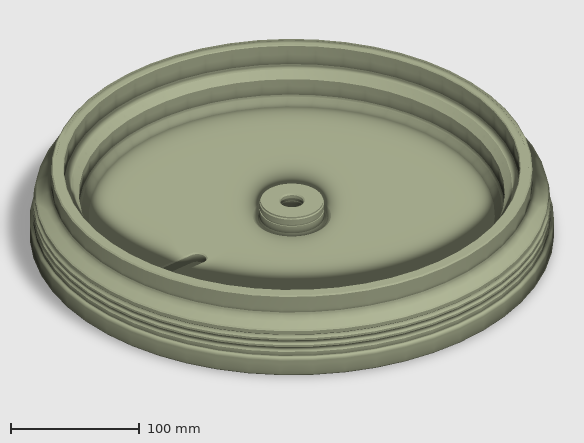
import cadquery as cq
import math

total_height = 63.01
floor_z = 18.6

rib_radius = 401.13 / 2
groove_root_radius = 397.13 / 2
shoulder_radius = 398.25 / 2
rim_radius = 373.0 / 2
cone_bottom_z = 38.6
cone_top_z = 46.6
shoulder_bevel = 1.0
rim_foot_bevel = 1.2
full_groove_count = 2
groove_pitch = 6.15
first_groove_z = 22.65
groove_half_width = 1.3
groove_mouth_bevel = 0.9
top_groove_z = first_groove_z + full_groove_count * groove_pitch
shoulder_bottom_z = 35.6

rim_chamfer = 1.0
rim_bore_chamfer = 0.7
rim_step_radius = 366.7 / 2
rim_step_depth = 0.2
rim_bore_radius = 353.65 / 2
ledge_z = 44.6
ledge_inner_radius = 170.9
wall_radius = 330.15 / 2
wall_top_z = 38.9
wall_bottom_z = 24.9
wall_foot_bevel = 0.9
ledge_bevel = 0.9
foot_radius = 163.0
foot_z = 23.5
floor_radius = 157.4

slot_width = 16.0
slot_length = 70.0
slot_depth = 8.0
slot_center_y = -122.7
slot_chamfer = 1.0

lip_radius = 406.76 / 2
lip_height = 16.8
lip_crown = lip_radius - rib_radius
lip_bottom_fillet = 2.0

hub_flange_radius = 70.0 / 2
hub_top_z = 32.5
hub_radius = 49.98 / 2
hub_neck_radius = 48.5 / 2
hub_neck_height = 1.3
hub_foot_bevel = 1.3
hub_chamfer = hub_radius - hub_neck_radius
ring_groove_bottom_z = 24.3
ring_groove_width = 1.5
moat_outer_radius = 30.4
moat_floor_radius = 27.5
moat_depth = 1.8
bore_radius = 18.0 / 2
bore_groove_radius = 20.0 / 2
bore_groove_bottom_z = 26.0
bore_groove_height = 2.9
bore_chamfer = bore_groove_radius - bore_radius


def revolve_about_z(profile):
    """Turn a closed (radius, height) profile drawn on XZ into a solid about Z."""
    return profile.close().revolve(360, (0, 0, 0), (0, 1, 0))


def ring(inner_radius, outer_radius, bottom_z, height):
    """Flat ring about Z, standing up from bottom_z."""
    return (
        cq.Workplane("XY", origin=(0, 0, bottom_z))
        .circle(outer_radius)
        .circle(inner_radius)
        .extrude(height)
    )


def add_rib_groove(profile, center_z):
    """Continue the drum outline up through a round-bottomed groove with bevelled edges."""
    return (
        profile.lineTo(rib_radius, center_z - groove_half_width - groove_mouth_bevel)
        .lineTo(rib_radius - groove_mouth_bevel, center_z - groove_half_width)
        .threePointArc(
            (groove_root_radius, center_z),
            (rib_radius - groove_mouth_bevel, center_z + groove_half_width),
        )
        .lineTo(rib_radius, center_z + groove_half_width + groove_mouth_bevel)
    )


def add_top_groove(profile):
    """Continue the drum outline up through the last groove, which runs out into the shoulder."""
    return (
        profile.lineTo(rib_radius, top_groove_z - groove_half_width - groove_mouth_bevel)
        .lineTo(rib_radius - groove_mouth_bevel, top_groove_z - groove_half_width)
        .lineTo(groove_root_radius, top_groove_z)
        .lineTo(shoulder_radius, shoulder_bottom_z)
    )


def make_drum_blank():
    """Turned dish: ribbed base, sloping shoulder, upright rim and flat floor."""
    profile = cq.Workplane("XZ").moveTo(hub_flange_radius, 0).lineTo(rib_radius, 0)
    for index in range(full_groove_count):
        profile = add_rib_groove(profile, first_groove_z + index * groove_pitch)
    profile = (
        add_top_groove(profile)
        .lineTo(shoulder_radius, cone_bottom_z)
        .lineTo(shoulder_radius - shoulder_bevel, cone_bottom_z + shoulder_bevel)
        .lineTo(rim_radius + rim_foot_bevel, cone_top_z)
        .lineTo(rim_radius, cone_top_z + rim_foot_bevel)
        .lineTo(rim_radius, total_height - rim_chamfer)
        .lineTo(rim_radius - rim_chamfer, total_height)
        .lineTo(rim_step_radius, total_height)
        .lineTo(rim_step_radius, total_height - rim_step_depth)
        .lineTo(rim_bore_radius + rim_bore_chamfer, total_height - rim_step_depth)
        .lineTo(rim_bore_radius, total_height - rim_step_depth - rim_bore_chamfer)
        .lineTo(rim_bore_radius, ledge_z + ledge_bevel)
        .lineTo(rim_bore_radius - ledge_bevel, ledge_z)
        .lineTo(ledge_inner_radius, ledge_z)
        .lineTo(wall_radius, wall_top_z)
        .lineTo(wall_radius, wall_bottom_z)
        .lineTo(wall_radius - wall_foot_bevel, wall_bottom_z - wall_foot_bevel)
        .lineTo(foot_radius, foot_z)
        .lineTo(floor_radius, floor_z)
        .lineTo(hub_flange_radius, floor_z)
    )
    return revolve_about_z(profile)


def make_slot_cutter():
    """Round-ended pocket with a chamfered mouth."""
    pocket = (
        cq.Workplane("XY", origin=(0, slot_center_y, floor_z - slot_depth))
        .slot2D(slot_length - 2 * slot_chamfer, slot_width - 2 * slot_chamfer, 90)
        .extrude(slot_depth + slot_chamfer)
    )
    mouth = (
        cq.Workplane("XY", origin=(0, slot_center_y, floor_z))
        .slot2D(slot_length, slot_width, 90)
        .extrude(-slot_chamfer, taper=45)
    )
    return pocket.union(mouth)


def make_drum():
    return make_drum_blank().cut(make_slot_cutter())


def make_lip():
    """Band seated on the foot of the drum, with a crowned top and a rounded lower edge."""
    arc_inset = 1 - math.sqrt(0.5)
    bottom_inset = lip_bottom_fillet * arc_inset
    crown_inset = lip_crown * arc_inset
    profile = (
        cq.Workplane("XZ")
        .moveTo(rib_radius, 0)
        .lineTo(lip_radius - lip_bottom_fillet, 0)
        .threePointArc((lip_radius - bottom_inset, bottom_inset), (lip_radius, lip_bottom_fillet))
        .lineTo(lip_radius, lip_height - lip_crown)
        .threePointArc((lip_radius - crown_inset, lip_height - crown_inset), (rib_radius, lip_height))
    )
    return revolve_about_z(profile)


def make_hub():
    """Flange flush with the floor, a boss standing in a shallow moat, and a stepped bore."""
    moat_floor_z = floor_z - moat_depth
    profile = (
        cq.Workplane("XZ")
        .moveTo(bore_radius, 0)
        .lineTo(hub_flange_radius, 0)
        .lineTo(hub_flange_radius, floor_z)
        .lineTo(moat_outer_radius, floor_z)
        .lineTo(moat_floor_radius, moat_floor_z)
        .lineTo(hub_radius + hub_foot_bevel, moat_floor_z)
        .lineTo(hub_radius, moat_floor_z + hub_foot_bevel)
        .lineTo(hub_radius, hub_top_z - hub_neck_height - hub_chamfer)
        .lineTo(hub_neck_radius, hub_top_z - hub_neck_height)
        .lineTo(hub_neck_radius, hub_top_z)
        .lineTo(bore_radius + bore_chamfer, hub_top_z)
        .lineTo(bore_radius, hub_top_z - bore_chamfer)
    )
    hub = revolve_about_z(profile)
    hub = hub.cut(ring(hub_neck_radius, hub_flange_radius, ring_groove_bottom_z, ring_groove_width))
    return hub.cut(
        cq.Workplane("XY", origin=(0, 0, bore_groove_bottom_z))
        .circle(bore_groove_radius)
        .extrude(bore_groove_height)
    )


drum = make_drum()
lip = make_lip()
hub = make_hub()

result = cq.Compound.makeCompound([drum.val(), lip.val(), hub.val()])